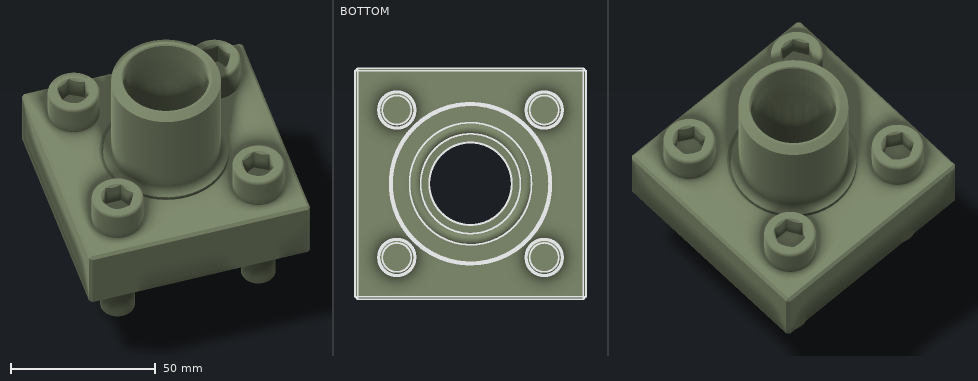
import cadquery as cq
import math

FLANGE_SIDE = 80.0
FLANGE_THICKNESS = 24.0
EDGE_CHAMFER = 1.0
NECK_HOLE_DIAMETER = 44.0
COUNTERBORE_DIAMETER = 56.0
COUNTERBORE_DEPTH = 10.0
SCREW_HOLE_DIAMETER = 13.0
BOLT_CIRCLE_DIAMETER = 72.1
CHAMFER_CONE_ANGLE = 90.0

NECK_RISE = 38.0
TUBE_DIAMETER = 38.0
TIP_DIAMETER = 32.0
BEVEL_ANGLE = 30.0
SHOULDER_DIAMETER = 43.5
COLLAR_DIAMETER = 55.0
COLLAR_PROTRUSION = 2.0
COLLAR_CHAMFER = 0.3
UPPER_BORE_DIAMETER = 30.0
LOWER_BORE_DIAMETER = 28.5
UPPER_BORE_DEPTH = 19.0
MOUTH_CHAMFER = 0.4

GROOVE_INNER_DIAMETER = 34.5
GROOVE_OUTER_DIAMETER = 42.25
SEAL_PROTRUSION = 1.0

SCREW_COUNT = 4
SHANK_DIAMETER = 12.0
SHANK_LENGTH = 45.0
SHANK_TIP_CHAMFER = 1.0
HEAD_DIAMETER = 18.0
HEAD_HEIGHT = 12.0
HEAD_TOP_FILLET = 1.25
HEAD_BASE_FILLET = 1.0
SOCKET_SIDES = 6
SOCKET_CORNER_DIAMETER = 11.5
SOCKET_DEPTH = 8.3
SOCKET_CHAMFER_ANGLE = 45.0

screw_pitch = BOLT_CIRCLE_DIAMETER / math.sqrt(2)
neck_top = FLANGE_THICKNESS + NECK_RISE
collar_bottom = -COLLAR_PROTRUSION
seal_bottom = collar_bottom - SEAL_PROTRUSION
seal_section_diameter = (GROOVE_OUTER_DIAMETER - GROOVE_INNER_DIAMETER) / 2
seal_centre_radius = (GROOVE_OUTER_DIAMETER + GROOVE_INNER_DIAMETER) / 4
groove_depth = seal_section_diameter - SEAL_PROTRUSION


def make_flange():
    plate = (
        cq.Workplane("XY")
        .box(FLANGE_SIDE, FLANGE_SIDE, FLANGE_THICKNESS, centered=(True, True, False))
        .edges()
        .chamfer(EDGE_CHAMFER)
    )
    top = plate.faces(">Z").workplane(origin=(0, 0, FLANGE_THICKNESS))
    plate = top.rect(screw_pitch, screw_pitch, forConstruction=True).vertices().hole(SCREW_HOLE_DIAMETER)
    chamfered_hole = top.cskHole(NECK_HOLE_DIAMETER, NECK_HOLE_DIAMETER + 2 * EDGE_CHAMFER, CHAMFER_CONE_ANGLE)
    counterbore = cq.Workplane("XY").circle(COUNTERBORE_DIAMETER / 2).extrude(COUNTERBORE_DEPTH)
    return plate.intersect(chamfered_hole).cut(counterbore)


def make_weld_neck():
    tube_radius = TUBE_DIAMETER / 2
    tip_radius = TIP_DIAMETER / 2
    shoulder_radius = SHOULDER_DIAMETER / 2
    collar_radius = COLLAR_DIAMETER / 2
    upper_radius = UPPER_BORE_DIAMETER / 2
    lower_radius = LOWER_BORE_DIAMETER / 2
    bevel_height = (tube_radius - tip_radius) * math.tan(math.radians(BEVEL_ANGLE))
    fillet_radius = shoulder_radius - tube_radius
    taper_top = neck_top - UPPER_BORE_DEPTH

    section = (
        cq.Workplane("XZ")
        .moveTo(lower_radius, collar_bottom)
        .lineTo(collar_radius - COLLAR_CHAMFER, collar_bottom)
        .lineTo(collar_radius, collar_bottom + COLLAR_CHAMFER)
        .lineTo(collar_radius, COUNTERBORE_DEPTH)
        .lineTo(shoulder_radius, COUNTERBORE_DEPTH)
        .lineTo(shoulder_radius, FLANGE_THICKNESS)
        .radiusArc((tube_radius, FLANGE_THICKNESS + fillet_radius), fillet_radius)
        .lineTo(tube_radius, neck_top - bevel_height)
        .lineTo(tip_radius, neck_top)
        .lineTo(upper_radius + MOUTH_CHAMFER, neck_top)
        .lineTo(upper_radius, neck_top - MOUTH_CHAMFER)
        .lineTo(upper_radius, taper_top)
        .close()
    )
    neck = section.revolve(360, (0, 0), (0, 1))
    groove = (
        cq.Workplane("XY", origin=(0, 0, collar_bottom))
        .circle(GROOVE_OUTER_DIAMETER / 2)
        .circle(GROOVE_INNER_DIAMETER / 2)
        .extrude(groove_depth)
    )
    return neck.cut(groove)


def make_seal_ring():
    """Round-section ring that fits the width of the groove and stands proud of the collar face."""
    section_radius = seal_section_diameter / 2
    centre = cq.Vector(0, 0, seal_bottom + section_radius)
    return cq.Workplane("XY").add(cq.Solid.makeTorus(seal_centre_radius, section_radius, centre))


def make_screw():
    """Screw with its seating face on Z = 0 and two socket corners on the X axis."""
    head = (
        cq.Workplane("XY")
        .circle(HEAD_DIAMETER / 2)
        .extrude(HEAD_HEIGHT)
        .faces(">Z")
        .edges()
        .fillet(HEAD_TOP_FILLET)
        .faces("<Z")
        .edges()
        .fillet(HEAD_BASE_FILLET)
    )
    shank = (
        cq.Workplane("XY")
        .circle(SHANK_DIAMETER / 2)
        .extrude(-SHANK_LENGTH)
        .faces("<Z")
        .edges()
        .chamfer(SHANK_TIP_CHAMFER)
    )
    head_top = cq.Workplane("XY", origin=(0, 0, HEAD_HEIGHT))
    socket = head_top.polygon(SOCKET_SIDES, SOCKET_CORNER_DIAMETER).extrude(-SOCKET_DEPTH)

    cone_radius = SOCKET_CORNER_DIAMETER / 2
    cone_depth = cone_radius * math.tan(math.radians(SOCKET_CHAMFER_ANGLE))
    lead_in = cq.Workplane("XY").add(
        cq.Solid.makeCone(cone_radius, 0, cone_depth, cq.Vector(0, 0, HEAD_HEIGHT), cq.Vector(0, 0, -1))
    )
    return head.union(shank).cut(socket).cut(lead_in)


def make_screws():
    """Four screws on the square hole pattern, each turned a quarter turn from the last."""
    screw = make_screw().translate((screw_pitch / 2, screw_pitch / 2, FLANGE_THICKNESS))
    quarter_turn = 360 / SCREW_COUNT
    return [screw.rotate((0, 0, 0), (0, 0, 1), corner * quarter_turn) for corner in range(SCREW_COUNT)]


flange = make_flange()
weld_neck = make_weld_neck()
seal_ring = make_seal_ring()
screws = make_screws()

result = cq.Compound.makeCompound(
    [flange.val(), weld_neck.val(), seal_ring.val(), *[screw.val() for screw in screws]]
)